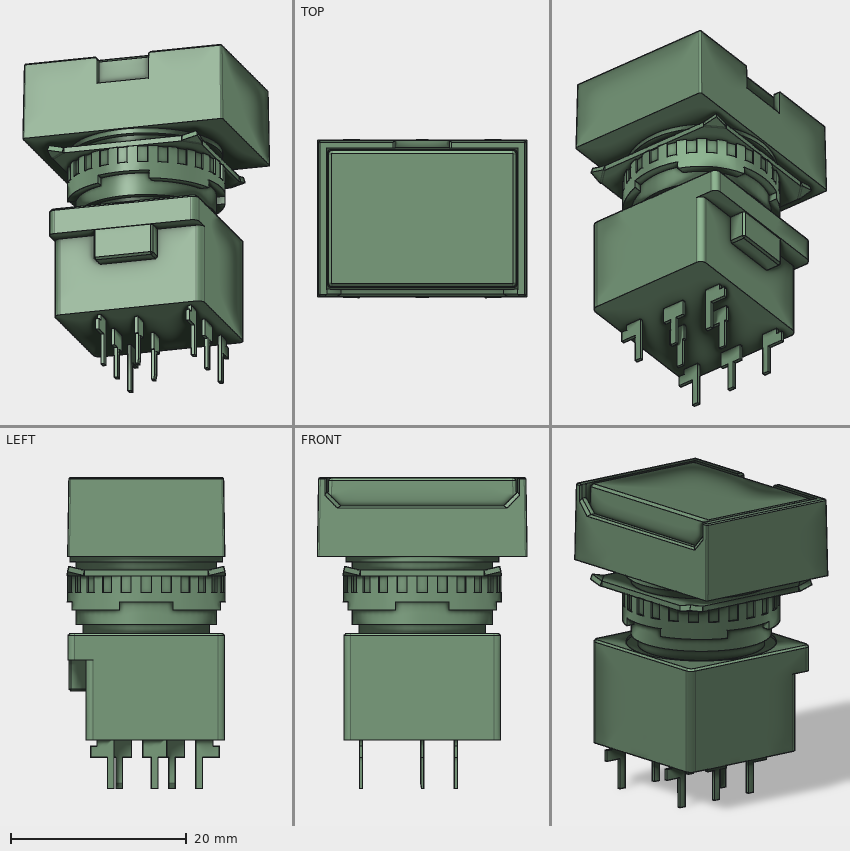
import cadquery as cq
import math


top_z = 35.4
case_bottom_z = 26.4
flange_bottom_z = 25.8
washer_top_z = 24.85
washer_thickness = 0.65
ring_top_z = washer_top_z - washer_thickness
ring_bottom_z = 20.32
barrel_bottom_z = 18.65
block_top_z = 17.65
block_bottom_z = 5.52

case_length = 23.9
case_width = 17.9
case_height = top_z - case_bottom_z
draft_angle = 0.9
draft_rate = math.tan(math.radians(draft_angle))
case_corner = 0.2
case_top_chamfer = 0.15
pocket_length = 21.77
pocket_width = 16.05
pocket_floor_z = 28.32
button_length = 21.35
button_width = 15.47
button_chamfer = 0.32
button_corner = 0.4
sill_z = 32.18
lip_chamfer = 0.25
window_half_width = 10.87
window_corner = 1.6
notch_half_width = 3.08
flange_radius = 8.7
barrel_radius = 8.0
neck_radius = 7.22

washer_size = 17.75
washer_corner = 1.85
tab_angle = 20.0

ring_radius = 9.0
ring_notch_count = 4
ring_notch_width = 6.1
ring_notch_depth = 0.92
slot_count = 24
slot_width = 1.17
slot_depth = 0.3
slot_length = 1.9

block_size = 17.85
block_half = block_size / 2
block_corner = 0.78
block_chamfer = 0.25
overhang = 2.05
overhang_bottom_z = 14.62
recess_radius = 8.55
recess_depth = 0.3
recess_floor_z = block_top_z - recess_depth
lever_width = 7.08
lever_height = 3.55
lever_inset = 0.1
lever_chamfer = 0.25

blade_thickness = 0.4
foot_bottom_z = 3.55
leg_width = 0.78
contact_rows_x = (-6.97, 3.82)
outer_leg_y = (4.05, -6.02)
outer_foot_length = 2.0
ear_top_z = 4.8
ear_length = 0.7
common_foot_y = 0.42
common_foot_length = 2.75
common_leg_offset = 1.0
lamp_foot_y = (3.7, -2.3)
lamp_foot_length = 2.05
lamp_leg_offset = 0.25
lamp_tip_height = 0.6
lamp_tip_depth = 0.1


def disc(radius, bottom_z, upper_z):
    return cq.Workplane("XY", origin=(0, 0, bottom_z)).circle(radius).extrude(upper_z - bottom_z)


def box_on(bottom_z, length, width, height):
    """Box centred on the Z axis that stands on the given height."""
    box = cq.Workplane("XY").box(length, width, height, centered=(True, True, False))
    return box.translate((0, 0, bottom_z))


def around_axis(shape, count, start_angle=0.0):
    """Evenly turned copies of a shape about the Z axis."""
    return [
        shape.rotate((0, 0, 0), (0, 0, 1), start_angle + i * 360 / count)
        for i in range(count)
    ]




def drafted_block(top_length, top_width, bottom_z):
    """Block up to the top height, of the given size there, that widens downwards by the draft."""
    height = top_z - bottom_z
    growth = 2 * height * draft_rate
    return (
        cq.Workplane("XY", origin=(0, 0, bottom_z))
        .rect(top_length + growth, top_width + growth)
        .extrude(height, taper=draft_angle)
    )


def window_outline(offset):
    """Front window with sloped lower corners, open at the top, grown by an offset on all sides."""
    half = window_half_width + offset
    low_z = sill_z - offset
    high_z = top_z + 2 * lip_chamfer
    corner = window_corner - offset * (2 - math.sqrt(2))
    return [
        (-half, high_z),
        (-half, low_z + corner),
        (-half + corner, low_z),
        (half - corner, low_z),
        (half, low_z + corner),
        (half, high_z),
    ]


def make_window():
    """Cutter for the window in the -Y wall, flared at 45 degrees to bevel its outer lip."""
    outer_y = case_width / 2 - (sill_z - case_bottom_z) * draft_rate
    lip_start_y = outer_y - lip_chamfer
    inner_y = pocket_width / 2 - lip_chamfer
    flare_length = 2 * lip_chamfer
    passage = (
        cq.Workplane("XZ", origin=(0, -inner_y, 0))
        .polyline(window_outline(0))
        .close()
        .extrude(lip_start_y - inner_y)
    )
    flare = (
        cq.Workplane("XZ", origin=(0, -lip_start_y, 0))
        .polyline(window_outline(0))
        .close()
        .workplane(offset=flare_length)
        .polyline(window_outline(flare_length))
        .close()
        .loft(ruled=True)
    )
    return passage.union(flare)


def make_wall_notch():
    """Cutter for the notch in the +Y wall, with its upper ends bevelled."""
    wide = notch_half_width + lip_chamfer
    bevel_z = top_z - lip_chamfer
    return (
        cq.Workplane("XZ")
        .polyline([
            (-wide, top_z),
            (-notch_half_width, bevel_z),
            (-notch_half_width, sill_z),
            (notch_half_width, sill_z),
            (notch_half_width, bevel_z),
            (wide, top_z),
        ])
        .close()
        .extrude(-case_width)
    )


def make_case():
    growth = 2 * case_height * draft_rate
    case = drafted_block(case_length - growth, case_width - growth, case_bottom_z)
    case = case.edges("not #Z").fillet(case_corner)
    case = case.faces(">Z").chamfer(case_top_chamfer)
    pocket = drafted_block(pocket_length, pocket_width, pocket_floor_z)
    return case.cut(pocket).cut(make_window()).cut(make_wall_notch())


def make_button():
    button = drafted_block(button_length, button_width, pocket_floor_z)
    return button.edges("not #Z").fillet(button_corner).faces(">Z").chamfer(button_chamfer)


def make_operator():
    barrel = (
        disc(flange_radius, flange_bottom_z, case_bottom_z)
        .union(disc(barrel_radius, barrel_bottom_z, flange_bottom_z))
        .union(disc(neck_radius, recess_floor_z, barrel_bottom_z))
    )
    return make_case().union(make_button()).union(barrel)




def make_tab():
    """One bent corner, on the +X side with its fold along Y."""
    fold_x = (washer_size - washer_corner) / math.sqrt(2)
    fold_length = washer_corner * math.sqrt(2)
    flap = (
        cq.Workplane("XY", origin=(fold_x, 0, ring_top_z))
        .polyline([(0, -fold_length / 2), (fold_length / 2, 0), (0, fold_length / 2)])
        .close()
        .extrude(washer_thickness)
        .rotate((fold_x, 0, washer_top_z), (fold_x, 1, washer_top_z), -tab_angle)
    )
    half_thickness = washer_thickness / 2
    bend = (
        cq.Workplane("YZ", origin=(fold_x, 0, washer_top_z - half_thickness))
        .rect(fold_length, washer_thickness)
        .revolve(tab_angle, (0, half_thickness), (-1, half_thickness))
    )
    return flap.union(bend)


def make_washer():
    washer = box_on(ring_top_z, washer_size, washer_size, washer_thickness)
    washer = washer.edges("|Z").chamfer(washer_corner)
    for tab in around_axis(make_tab(), 4, start_angle=45):
        washer = washer.union(tab)
    return washer.cut(disc(barrel_radius, ring_top_z, washer_top_z))




def make_ring():
    ring = disc(ring_radius, ring_bottom_z, ring_top_z)
    ring = ring.cut(disc(barrel_radius, ring_bottom_z, ring_top_z))

    slot = box_on(ring_top_z - slot_length, 2 * slot_depth, slot_width, slot_length)
    for copy in around_axis(slot.translate((ring_radius, 0, 0)), slot_count):
        ring = ring.cut(copy)

    notch = box_on(ring_bottom_z, ring_radius, ring_notch_width, ring_notch_depth)
    for copy in around_axis(notch.translate((ring_radius, 0, 0)), ring_notch_count):
        ring = ring.cut(copy)
    return ring




def make_column(back_y, bottom_z, upper_z):
    """Upright with rounded corners, from the front of the block to the given back."""
    width = block_half + back_y
    column = box_on(bottom_z, block_size, width, upper_z - bottom_z)
    return column.edges("|Z").fillet(block_corner).translate((0, back_y - width / 2, 0))


def make_housing():
    head = make_column(block_half, overhang_bottom_z, block_top_z)
    head = head.faces(">Z").chamfer(block_chamfer)
    body = make_column(block_half - overhang, block_bottom_z, overhang_bottom_z)
    recess = disc(recess_radius, recess_floor_z, block_top_z)
    return head.union(body).cut(recess)


def make_lever():
    """Release lever under the overhang; its root lies inside the body of the block."""
    length = block_half - lever_inset
    lever = box_on(overhang_bottom_z - lever_height, lever_width, length, lever_height)
    lever = lever.edges("(>Y and (|Z or <Z)) or (|Y and <Z)").chamfer(lever_chamfer)
    return lever.translate((0, length / 2, 0))


def make_blade(x, points):
    return (
        cq.Workplane("YZ", origin=(x - blade_thickness / 2, 0, 0))
        .polyline(points)
        .close()
        .extrude(blade_thickness)
    )


def make_outer_blade(x, leg_y, outward):
    """Blade with its leg at the inner end and an ear at the outer end; outward is 1 or -1 along Y."""
    inner_y = leg_y - outward * leg_width / 2
    leg_outer_y = leg_y + outward * leg_width / 2
    foot_outer_y = inner_y + outward * outer_foot_length
    ear_outer_y = foot_outer_y + outward * ear_length
    return make_blade(x, [
        (inner_y, block_bottom_z),
        (inner_y, 0),
        (leg_outer_y, 0),
        (leg_outer_y, foot_bottom_z),
        (ear_outer_y, foot_bottom_z),
        (ear_outer_y, ear_top_z),
        (foot_outer_y, ear_top_z),
        (foot_outer_y, block_bottom_z),
    ])


def make_plain_blade(x, foot_y, foot_length, leg_offset):
    """Blade without an ear; the foot and leg positions run towards -Y from foot_y."""
    foot_end_y = foot_y - foot_length
    leg_start_y = foot_y - leg_offset
    leg_end_y = leg_start_y - leg_width
    return make_blade(x, [
        (foot_y, block_bottom_z),
        (foot_y, foot_bottom_z),
        (leg_start_y, foot_bottom_z),
        (leg_start_y, 0),
        (leg_end_y, 0),
        (leg_end_y, foot_bottom_z),
        (foot_end_y, foot_bottom_z),
        (foot_end_y, block_bottom_z),
    ])


def make_lamp_blade(foot_y):
    """Plain blade on the centre plane, with its tip bevelled on the -X face."""
    face_x = -blade_thickness / 2
    bevel = (
        cq.Workplane("XZ")
        .polyline([(face_x, 0), (face_x + lamp_tip_depth, 0), (face_x, lamp_tip_height)])
        .close()
        .extrude(block_half, both=True)
    )
    return make_plain_blade(0, foot_y, lamp_foot_length, lamp_leg_offset).cut(bevel)


def make_terminals():
    blades = []
    for x in contact_rows_x:
        back_leg_y, front_leg_y = outer_leg_y
        blades.append(make_outer_blade(x, back_leg_y, 1))
        blades.append(make_outer_blade(x, front_leg_y, -1))
        blades.append(make_plain_blade(x, common_foot_y, common_foot_length, common_leg_offset))
    for foot_y in lamp_foot_y:
        blades.append(make_lamp_blade(foot_y))
    return blades


def make_switch_block():
    block = make_housing().union(make_lever())
    for blade in make_terminals():
        block = block.union(blade)
    return block


operator = make_operator()
lock_washer = make_washer()
mounting_ring = make_ring()
switch_block = make_switch_block()

result = cq.Compound.makeCompound([
    operator.solids().val(),
    lock_washer.solids().val(),
    mounting_ring.solids().val(),
    switch_block.solids().val(),
])